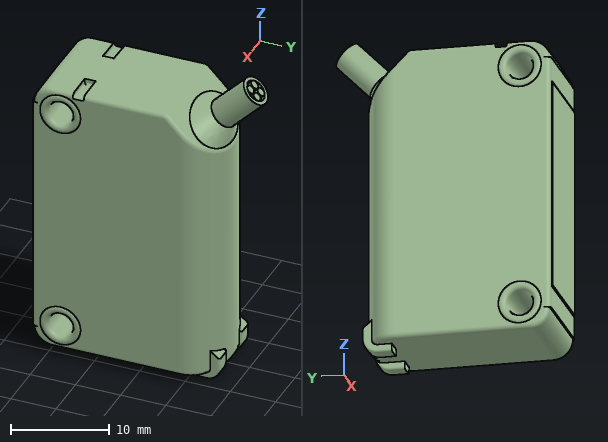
import cadquery as cq
import math


WIDTH = 11.0
DEPTH = 20.07
HEIGHT = 31.03
CROWN = 0.1
FRONT_CORNER_RADIUS = 2.07
REAR_CORNER_RADIUS = 2.9
REAR_CORNER_DEPTH = 3.7
SLOPE_SIZE = 5.32
SLOPE_EDGE_RADIUS = 0.55
EDGE_RADIUS = 0.52

PANEL_STEP = 0.15
WINDOW_WIDTH = 9.88
WINDOW_BOTTOM = 4.42
WINDOW_TOP = 26.45
WINDOW_RISE = 0.1
WINDOW_BEVEL_ANGLE = 45

HOLE_Y = 3.2
HOLE_SPACING = 25.4
HOLE_BOTTOM_Z = 2.8
HOLE_DIAMETER = 2.35
RIM_CREST_DIAMETER = 3.73
RIM_SECTION_RADIUS = 0.52
RIM_HEIGHT = 0.155

NOTCH_Y = 5.18
NOTCH_WIDTH = 1.2
NOTCH_END_X = 2.35
NOTCH_DEPTH = 0.6
NOTCH_FLOOR_RADIUS = 0.2

TAB_X = 2.85
TAB_WIDTH = 1.95
TAB_DROP = 0.8
TAB_REACH = 3.1
TAB_CORNER_RADIUS = 1.5
TAB_WALL_TOP = 1.85
TAB_SLOPE_TOP = 3.1
TAB_ROOT_DEPTH = 1.55
TAB_ROOT_Z = 0.7
TAB_EDGE_RADIUS = 0.28

CABLE_DIAMETER = 3.28
CABLE_LENGTH = 5.05
BOOT_LENGTH = 1.52
BOOT_ROOT = 0.17
BOOT_HALF_WIDTH = 4.08
BOOT_HALF_HEIGHT = 2.87
AXIS_FROM_REAR = 2.25
CORE_RECESS_DIAMETER = 2.4
CORE_RECESS_DEPTH = 0.52
CORE_DIAMETER = 0.95
CORE_PITCH = 1.0

HALF_WIDTH = WIDTH / 2
RIM_CENTER_X = HALF_WIDTH + RIM_HEIGHT - RIM_SECTION_RADIUS
AXIS_Y = DEPTH - AXIS_FROM_REAR
AXIS_Z = HEIGHT - SLOPE_SIZE + AXIS_FROM_REAR
SLOPE_PLANE = cq.Plane(origin=(0, AXIS_Y, AXIS_Z), xDir=(1, 0, 0), normal=(0, 1, 1))


def plan_column():
    """Upright column with the housing's outline from above: flat front, rounded rear."""
    corner_x = HALF_WIDTH - REAR_CORNER_RADIUS
    rear_radius = (corner_x**2 + REAR_CORNER_DEPTH**2 - REAR_CORNER_RADIUS**2) / (
        2 * (REAR_CORNER_DEPTH - REAR_CORNER_RADIUS)
    )
    corner_y = DEPTH - REAR_CORNER_DEPTH
    join_angle = math.atan2(rear_radius - REAR_CORNER_DEPTH, corner_x)
    join_x = corner_x + REAR_CORNER_RADIUS * math.cos(join_angle)
    join_y = corner_y + REAR_CORNER_RADIUS * math.sin(join_angle)
    middle_x = corner_x + REAR_CORNER_RADIUS * math.cos(join_angle / 2)
    middle_y = corner_y + REAR_CORNER_RADIUS * math.sin(join_angle / 2)
    return (
        cq.Workplane("XY")
        .moveTo(-HALF_WIDTH, PANEL_STEP)
        .lineTo(HALF_WIDTH, PANEL_STEP)
        .lineTo(HALF_WIDTH, corner_y)
        .threePointArc((middle_x, middle_y), (join_x, join_y))
        .threePointArc((0, DEPTH), (-join_x, join_y))
        .threePointArc((-middle_x, middle_y), (-HALF_WIDTH, corner_y))
        .close()
        .extrude(HEIGHT)
    )


def shell():
    """Rounded housing block with its crowned top and sloping rear-top corner."""
    crowned_block = (
        cq.Workplane("XZ")
        .polyline([
            (-HALF_WIDTH, 0),
            (HALF_WIDTH, 0),
            (HALF_WIDTH, HEIGHT - CROWN),
            (0, HEIGHT),
            (-HALF_WIDTH, HEIGHT - CROWN),
        ])
        .close()
        .extrude(-DEPTH)
    )
    above_slope = cq.Workplane(SLOPE_PLANE).rect(2 * WIDTH, 2 * DEPTH).extrude(DEPTH)
    block = crowned_block.intersect(plan_column()).cut(above_slope)
    block = block.faces("<Y").edges("not |Z").fillet(FRONT_CORNER_RADIUS)
    slope_top_y = DEPTH - SLOPE_SIZE
    margin = 2 * CROWN
    slope_top_edges = cq.selectors.BoxSelector(
        (-WIDTH, slope_top_y - margin, HEIGHT - margin),
        (WIDTH, slope_top_y + margin, HEIGHT + margin),
    )
    block = block.edges(slope_top_edges).fillet(SLOPE_EDGE_RADIUS)
    return block.faces("<Y").edges("|Z and <X").fillet(EDGE_RADIUS)


def front_panel():
    """Flat panel between the front corners, carrying the raised window."""
    panel = (
        cq.Workplane("XY")
        .box(WIDTH, 2 * EDGE_RADIUS, HEIGHT - 2 * FRONT_CORNER_RADIUS, centered=(True, False, False))
        .translate((0, 0, FRONT_CORNER_RADIUS))
        .edges("|Z and <Y")
        .fillet(EDGE_RADIUS)
    )
    window = (
        cq.Workplane("XZ")
        .center(0, (WINDOW_BOTTOM + WINDOW_TOP) / 2)
        .rect(WINDOW_WIDTH, WINDOW_TOP - WINDOW_BOTTOM)
        .extrude(WINDOW_RISE, taper=WINDOW_BEVEL_ANGLE)
    )
    return panel.union(window)


def mounting_hole_cut():
    """Through hole: both ends open out to the rim crest, then the bore tapers to mid-width."""
    crest = RIM_CREST_DIAMETER / 2
    return (
        cq.Workplane("XY")
        .polyline([
            (-WIDTH, 0),
            (-WIDTH, crest),
            (-RIM_CENTER_X, crest),
            (-RIM_CENTER_X, crest - RIM_SECTION_RADIUS),
            (0, HOLE_DIAMETER / 2),
            (RIM_CENTER_X, crest - RIM_SECTION_RADIUS),
            (RIM_CENTER_X, crest),
            (WIDTH, crest),
            (WIDTH, 0),
        ])
        .close()
        .revolve(360, (0, 0), (1, 0))
    )


def hole_rim(side):
    """Round ring sunk in one side face, forming a domed rim and a rounded hole mouth."""
    ring = cq.Solid.makeTorus(
        RIM_CREST_DIAMETER / 2,
        RIM_SECTION_RADIUS,
        cq.Vector(side * RIM_CENTER_X, 0, 0),
        cq.Vector(1, 0, 0),
    )
    return cq.Workplane(ring)


def notch(side):
    """Notch in the top face with a rounded floor edge, open at one side of the housing."""
    return (
        cq.Workplane("XY")
        .box(2 * (HALF_WIDTH - NOTCH_END_X), NOTCH_WIDTH, 2 * NOTCH_DEPTH)
        .faces("<Z")
        .edges()
        .fillet(NOTCH_FLOOR_RADIUS)
        .translate((side * HALF_WIDTH, NOTCH_Y, HEIGHT - CROWN / 2))
    )


def tab():
    """Hooked tab that wraps round the rear-bottom edge."""
    arc_offset = TAB_CORNER_RADIUS * (1 - math.sqrt(0.5))
    return (
        cq.Workplane("YZ")
        .moveTo(DEPTH - TAB_REACH, TAB_ROOT_Z)
        .lineTo(DEPTH - TAB_REACH, -TAB_DROP)
        .lineTo(DEPTH - TAB_CORNER_RADIUS, -TAB_DROP)
        .threePointArc(
            (DEPTH - arc_offset, arc_offset - TAB_DROP), (DEPTH, TAB_CORNER_RADIUS - TAB_DROP)
        )
        .lineTo(DEPTH, TAB_WALL_TOP)
        .lineTo(DEPTH - TAB_ROOT_DEPTH, TAB_SLOPE_TOP)
        .lineTo(DEPTH - TAB_ROOT_DEPTH, TAB_ROOT_Z)
        .close()
        .extrude(TAB_WIDTH / 2, both=True)
        .faces(">Y")
        .edges("|Z")
        .fillet(TAB_EDGE_RADIUS)
    )


def boot():
    """Flared boot from the slope up to the cable, trimmed flush with the housing's rear."""
    flare = (
        cq.Workplane(SLOPE_PLANE)
        .ellipse(BOOT_HALF_WIDTH, BOOT_HALF_HEIGHT)
        .workplane(offset=BOOT_LENGTH)
        .circle(CABLE_DIAMETER / 2)
        .loft(ruled=True)
    )
    root = cq.Workplane(SLOPE_PLANE).ellipse(BOOT_HALF_WIDTH, BOOT_HALF_HEIGHT).extrude(-BOOT_ROOT)
    return flare.union(root).intersect(plan_column())


def build_housing():
    body = shell().union(front_panel()).union(boot())
    for side in (-1, 1):
        body = body.union(tab().translate((side * TAB_X, 0, 0)))
        body = body.cut(notch(side))
    for z in (HOLE_BOTTOM_Z, HOLE_BOTTOM_Z + HOLE_SPACING):
        body = body.cut(mounting_hole_cut().translate((0, HOLE_Y, z)))
        for side in (-1, 1):
            body = body.union(hole_rim(side).translate((0, HOLE_Y, z)))
    return body


def build_cable():
    """Round cable with four cores showing in a recess at its free end."""
    cable = (
        cq.Workplane(SLOPE_PLANE)
        .workplane(offset=BOOT_LENGTH)
        .circle(CABLE_DIAMETER / 2)
        .extrude(CABLE_LENGTH)
    )
    floor_offset = BOOT_LENGTH + CABLE_LENGTH - CORE_RECESS_DEPTH
    recess_floor = cq.Workplane(SLOPE_PLANE).workplane(offset=floor_offset)
    recess = recess_floor.circle(CORE_RECESS_DIAMETER / 2).extrude(CORE_RECESS_DEPTH)
    cores = (
        recess_floor.rarray(CORE_PITCH, CORE_PITCH, 2, 2)
        .circle(CORE_DIAMETER / 2)
        .extrude(CORE_RECESS_DEPTH)
    )
    return cable.cut(recess.cut(cores))


housing = build_housing()
cable = build_cable()

result = cq.Compound.makeCompound([housing.val(), cable.val()])